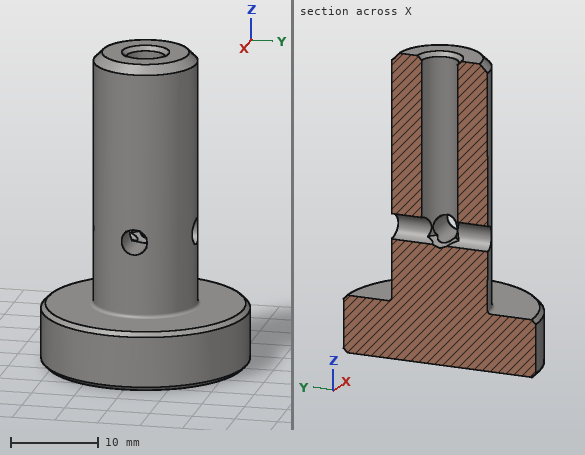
import cadquery as cq
import math

total_height = 37.0
head_diameter = 24.0
head_height = 7.0
head_chamfer = 0.5
shaft_diameter = 12.0
shaft_chamfer = 1.0
root_fillet = 0.4
bore_diameter = 4.45
bore_chamfer = 0.5
bore_tip_angle = 140.0
cross_hole_diameter = 3.0
cross_hole_height = 16.0
bore_end_below_cross_holes = 1.05


def make_head():
    head = cq.Workplane("XY").circle(head_diameter / 2).extrude(head_height)
    return head.edges("%CIRCLE").chamfer(head_chamfer)


def make_shaft():
    shaft = cq.Workplane("XY").circle(shaft_diameter / 2).extrude(total_height)
    return shaft.faces(">Z").edges().chamfer(shaft_chamfer)


def round_shaft_root(body):
    shoulder = body.faces(cq.selectors.NearestToPointSelector((0, 0, head_height)))
    return shoulder.edges(cq.selectors.RadiusNthSelector(0)).fillet(root_fillet)


def make_bore():
    """Blind drilled bore with a chamfered mouth and a conical tip."""
    radius = bore_diameter / 2
    end_height = cross_hole_height - bore_end_below_cross_holes
    tip_depth = radius / math.tan(math.radians(bore_tip_angle / 2))
    profile = (
        cq.Workplane("XZ")
        .moveTo(0, end_height - tip_depth)
        .lineTo(radius, end_height)
        .lineTo(radius, total_height - bore_chamfer)
        .lineTo(radius + bore_chamfer, total_height)
        .lineTo(0, total_height)
        .close()
    )
    return profile.revolve(360, (0, 0), (0, 1))


def make_cross_hole(plane):
    """Hole right through the shaft, normal to the given plane."""
    hole = cq.Workplane(plane).center(0, cross_hole_height).circle(cross_hole_diameter / 2)
    return hole.extrude(shaft_diameter, both=True)


result = round_shaft_root(make_head().union(make_shaft()))
result = result.cut(make_bore())
for plane in ("XZ", "YZ"):
    result = result.cut(make_cross_hole(plane))